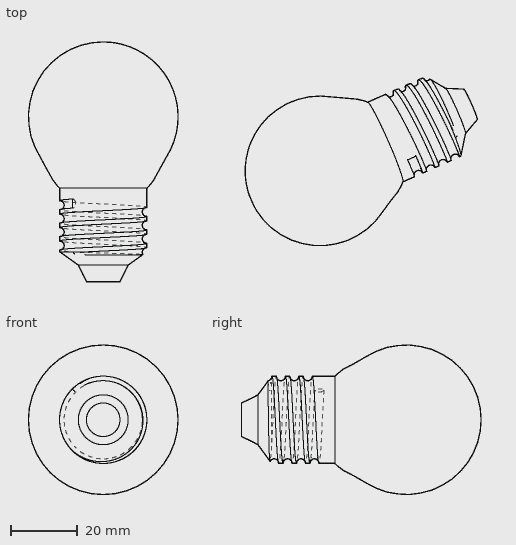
import cadquery as cq
import math

length = 71.95
globe_radius = 22.49
cap_radius = 13.1
shoulder_radius = 7.5
tip_radius = 5.05

globe_end = 34.6
skirt_end = 41.3
cap_start = 43.9
cap_end = length - 9.0
shoulder_end = length - 5.0

skirt_radius = 15.25
flare_mid_radius = 14.3
flare_mid_height = 42.6

groove_radius = 1.4
thread_pitch = 4.0
thread_turns = 4
thread_start = 48.5
thread_start_angle = 135.0


def make_body():
    """Revolve the lamp outline about its axis."""
    globe_end_radius = math.sqrt(globe_radius**2 - (globe_end - globe_radius) ** 2)
    outline = (
        cq.Workplane("XZ")
        .moveTo(0, 0)
        .threePointArc((globe_radius, globe_radius), (globe_end_radius, globe_end))
        .lineTo(skirt_radius, skirt_end)
        .threePointArc((flare_mid_radius, flare_mid_height), (cap_radius, cap_start))
        .lineTo(cap_radius, cap_end)
        .lineTo(shoulder_radius, shoulder_end)
        .lineTo(tip_radius, length)
        .lineTo(0, length)
        .close()
    )
    return outline.revolve(360, (0, 0, 0), (0, 1, 0))


def make_thread_groove():
    """Sweep a circle centred on the cap surface along the thread helix."""
    helix = cq.Wire.makeHelix(thread_pitch, thread_pitch * thread_turns, cap_radius)
    groove = (
        cq.Workplane("XZ")
        .center(cap_radius, 0)
        .circle(groove_radius)
        .sweep(cq.Workplane(helix), isFrenet=True)
    )
    return groove.rotate((0, 0, 0), (0, 0, 1), thread_start_angle).translate((0, 0, thread_start))


lamp = make_body().cut(make_thread_groove())
result = lamp.rotate((0, 0, 0), (1, 0, 0), 90)